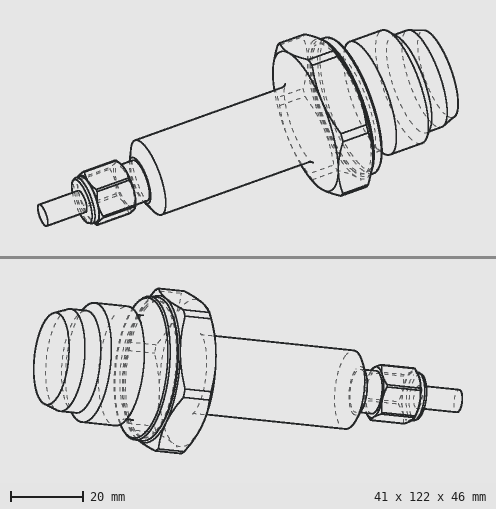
import cadquery as cq
import math

TOTAL_LENGTH = 122.0

SPIGOT_DIAMETER = 28.5
SPIGOT_TIP_DIAMETER = 25.6
SPIGOT_TAPER_END = 4.1
SPIGOT_END = 8.9
THREAD_DIAMETER = 33.3
THREAD_LEAD_IN_END = 11.1
THREAD_END = 21.0

GROOVE_DIAMETER = 29.2
GROOVE_RADIUS = 1.0
RUNOUT_ANGLE = math.radians(55)

COLLAR_DIAMETER = 40.0
COLLAR_START = 26.8
COLLAR_END = 29.5
COLLAR_CHAMFER = 0.5
COLLAR_NECK_DIAMETER = 38.2

HEX_FLATS = 41.0
HEX_CORNERS = 46.0
HEX_START = 30.1
HEX_END = 40.9
HEX_CHAMFER_ANGLE = math.radians(30)

BODY_DIAMETER = 22.0
BODY_ROOT_RADIUS = 3.3
BODY_END = 89.4
BODY_TIP_DIAMETER = 13.5
BODY_CONE_END = 92.0
NECK_DIAMETER = 12.0

GLAND_FLATS = 14.2
GLAND_CORNERS = 16.0
GLAND_START = 96.7
GLAND_END = 108.0
GLAND_CHAMFER_ANGLE = math.radians(35)
RING_DIAMETER = 13.5
RING_END = 109.9
RING_CHAMFER_LENGTH = 0.7
RING_TIP_DIAMETER = 12.8
CABLE_DIAMETER = 6.3


def cylinder(diameter, start, end):
    """Cylinder on the part axis between two stations."""
    plane = cq.Workplane("XZ", origin=(0, -start, 0))
    return plane.circle(diameter / 2).extrude(end - start)


def revolve_half_profile(profile):
    """Close a half profile drawn from axis to axis and turn it about Y."""
    return profile.close().revolve(360, (0, 0), (0, 1))


def rear_fitting():
    """Spigot, thread, relief groove, collar and collar neck."""
    groove_r = GROOVE_DIAMETER / 2
    thread_r = THREAD_DIAMETER / 2
    fillet_top_r = groove_r + GROOVE_RADIUS * (1 - math.cos(RUNOUT_ANGLE))
    fillet_mid_r = groove_r + GROOVE_RADIUS * (1 - math.cos(RUNOUT_ANGLE / 2))
    runout_end = THREAD_END + (thread_r - fillet_top_r) / math.tan(RUNOUT_ANGLE)
    floor_start = runout_end + GROOVE_RADIUS * math.sin(RUNOUT_ANGLE)
    fillet_mid = floor_start - GROOVE_RADIUS * math.sin(RUNOUT_ANGLE / 2)
    collar_r = COLLAR_DIAMETER / 2
    profile = (
        cq.Workplane("XY")
        .lineTo(SPIGOT_TIP_DIAMETER / 2, 0)
        .lineTo(SPIGOT_DIAMETER / 2, -SPIGOT_TAPER_END)
        .lineTo(SPIGOT_DIAMETER / 2, -SPIGOT_END)
        .lineTo(thread_r, -THREAD_LEAD_IN_END)
        .lineTo(thread_r, -THREAD_END)
        .lineTo(fillet_top_r, -runout_end)
        .threePointArc((fillet_mid_r, -fillet_mid), (groove_r, -floor_start))
        .lineTo(groove_r, -(COLLAR_START - GROOVE_RADIUS))
        .radiusArc((groove_r + GROOVE_RADIUS, -COLLAR_START), -GROOVE_RADIUS)
        .lineTo(collar_r - COLLAR_CHAMFER, -COLLAR_START)
        .lineTo(collar_r, -(COLLAR_START + COLLAR_CHAMFER))
        .lineTo(collar_r, -COLLAR_END)
        .lineTo(COLLAR_NECK_DIAMETER / 2, -COLLAR_END)
        .lineTo(COLLAR_NECK_DIAMETER / 2, -HEX_START)
        .lineTo(0, -HEX_START)
    )
    return revolve_half_profile(profile)


def chamfered_hexagon(flats, corners, start, end, chamfer_angle, turn):
    """Hexagon whose corners are turned down and coned off at both ends."""
    corner_points_diameter = flats / math.cos(math.pi / 6)
    prism = (
        cq.Workplane("XZ", origin=(0, -start, 0))
        .polygon(6, corner_points_diameter)
        .extrude(end - start)
        .rotate((0, 0, 0), (0, 1, 0), turn)
    )
    chamfer_length = (corners - flats) / 2 * math.tan(chamfer_angle)
    envelope = (
        cq.Workplane("XY")
        .moveTo(0, -start)
        .lineTo(flats / 2, -start)
        .lineTo(corners / 2, -(start + chamfer_length))
        .lineTo(corners / 2, -(end - chamfer_length))
        .lineTo(flats / 2, -end)
        .lineTo(0, -end)
    )
    return prism.intersect(revolve_half_profile(envelope))


def body():
    """Body with a rounded root at the large hexagon and a conical front end."""
    body_r = BODY_DIAMETER / 2
    profile = (
        cq.Workplane("XY")
        .moveTo(0, -HEX_END)
        .lineTo(body_r + BODY_ROOT_RADIUS, -HEX_END)
        .radiusArc((body_r, -(HEX_END + BODY_ROOT_RADIUS)), -BODY_ROOT_RADIUS)
        .lineTo(body_r, -BODY_END)
        .lineTo(BODY_TIP_DIAMETER / 2, -BODY_CONE_END)
        .lineTo(0, -BODY_CONE_END)
    )
    return revolve_half_profile(profile)


def gland_ring():
    """Short ring in front of the gland nut, chamfered at its front edge."""
    profile = (
        cq.Workplane("XY")
        .moveTo(0, -GLAND_END)
        .lineTo(RING_DIAMETER / 2, -GLAND_END)
        .lineTo(RING_DIAMETER / 2, -(RING_END - RING_CHAMFER_LENGTH))
        .lineTo(RING_TIP_DIAMETER / 2, -RING_END)
        .lineTo(0, -RING_END)
    )
    return revolve_half_profile(profile)


large_hexagon = chamfered_hexagon(
    HEX_FLATS, HEX_CORNERS, HEX_START, HEX_END, HEX_CHAMFER_ANGLE, 30
)
gland_nut = chamfered_hexagon(
    GLAND_FLATS, GLAND_CORNERS, GLAND_START, GLAND_END, GLAND_CHAMFER_ANGLE, 0
)

result = (
    rear_fitting()
    .union(large_hexagon)
    .union(body())
    .union(cylinder(NECK_DIAMETER, BODY_CONE_END, GLAND_START))
    .union(gland_nut)
    .union(gland_ring())
    .union(cylinder(CABLE_DIAMETER, RING_END, TOTAL_LENGTH))
)